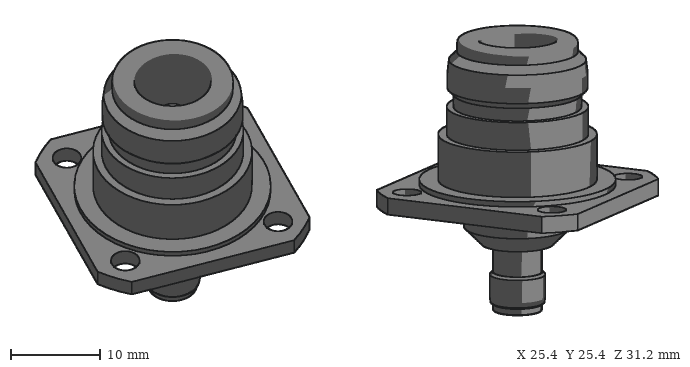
import cadquery as cq
import math

flange_size = 25.4
flange_thickness = 1.9
flange_corner_radius = 16.0
hole_spacing = 18.3
hole_diameter = 3.2

overall_length = 31.25
body_top = 18.7
raised_face_radius = 11.0
raised_face_top = 2.5
barrel_radius = 8.9
barrel_top = 7.7
shoulder_radius = 7.94
shoulder_top = 10.87
undercut_radius = 7.17
undercut_top = 12.33
thread_radius = 7.87
thread_bottom = undercut_top + (thread_radius - undercut_radius)
thread_top = 14.83
thread_lead_radius = 7.7
thread_lead_top = 16.27
nose_radius = 6.78
nose_bottom = thread_lead_top + (thread_lead_radius - nose_radius)
rim_fillet = 0.5

bore_top_radius = 4.27
bore_floor_radius = 4.05
bore_depth = 9.0
pin_top_depth = 5.0
pin_base_radius = 1.5
pin_top_radius = 1.35
pin_hole_top_radius = 0.75
pin_hole_floor_radius = 0.6
pin_hole_depth = 3.5
end_face_slope = math.tan(math.radians(0.5))

lower_body_radius = 6.0
lower_body_bottom = -2.93
cone_end_radius = 4.04
cone_bottom = lower_body_bottom - (lower_body_radius - cone_end_radius)
jack_bottom = body_top - overall_length
neck_radius = 2.75
neck_chamfer = 0.15
tip_chamfer = 0.1
collar_radius = 3.12
collar_top = -8.1
collar_chamfer = 0.3
collar_taper_top = -11.0
collar_taper_radius = 3.04
collar_taper_bottom = -11.58
collar_bottom = -11.79


def revolve_about_z(profile):
    """Close an (r, z) outline drawn on the XZ plane and turn it about the Z axis."""
    return profile.close().revolve(360, (0, 0, 0), (0, 1, 0))


def make_flange():
    plate = cq.Workplane("XY").rect(flange_size, flange_size).extrude(flange_thickness)
    corner_round = cq.Workplane("XY").circle(flange_corner_radius).extrude(flange_thickness)
    holes = (
        cq.Workplane("XY")
        .rect(hole_spacing, hole_spacing, forConstruction=True)
        .vertices()
        .circle(hole_diameter / 2)
        .extrude(flange_thickness)
    )
    return plate.intersect(corner_round).cut(holes)


def make_upper_body():
    profile = (
        cq.Workplane("XZ")
        .moveTo(0, 0)
        .lineTo(raised_face_radius, 0)
        .lineTo(raised_face_radius, raised_face_top)
        .lineTo(barrel_radius, raised_face_top)
        .lineTo(barrel_radius, barrel_top)
        .lineTo(shoulder_radius, barrel_top)
        .lineTo(shoulder_radius, shoulder_top)
        .lineTo(undercut_radius, shoulder_top)
        .lineTo(undercut_radius, undercut_top)
        .lineTo(thread_radius, thread_bottom)
        .lineTo(thread_radius, thread_top)
        .lineTo(thread_lead_radius, thread_lead_top)
        .lineTo(nose_radius, nose_bottom)
        .lineTo(nose_radius, body_top - rim_fillet)
        .radiusArc((nose_radius - rim_fillet, body_top), -rim_fillet)
        .lineTo(0, body_top)
    )
    return revolve_about_z(profile)


def make_socket_cavity():
    """Space inside the socket: the bore with its rounded mouth, less the hollow centre pin."""
    floor_z = body_top - bore_depth
    pin_top_z = body_top - pin_top_depth
    hole_floor_z = pin_top_z - pin_hole_depth
    floor_rise = (bore_floor_radius - pin_base_radius) * end_face_slope
    pin_dish = (pin_top_radius - pin_hole_top_radius) * end_face_slope
    hole_floor_rise = pin_hole_floor_radius * end_face_slope
    profile = (
        cq.Workplane("XZ")
        .moveTo(0, body_top)
        .lineTo(bore_top_radius + rim_fillet, body_top)
        .radiusArc((bore_top_radius, body_top - rim_fillet), -rim_fillet)
        .lineTo(bore_floor_radius, floor_z)
        .lineTo(pin_base_radius, floor_z + floor_rise)
        .lineTo(pin_top_radius, pin_top_z)
        .lineTo(pin_hole_top_radius, pin_top_z - pin_dish)
        .lineTo(pin_hole_floor_radius, hole_floor_z)
        .lineTo(0, hole_floor_z + hole_floor_rise)
    )
    return revolve_about_z(profile)


def make_lower_body():
    profile = (
        cq.Workplane("XZ")
        .moveTo(0, flange_thickness)
        .lineTo(lower_body_radius, flange_thickness)
        .lineTo(lower_body_radius, lower_body_bottom)
        .lineTo(cone_end_radius, cone_bottom)
        .lineTo(neck_radius - neck_chamfer, cone_bottom)
        .lineTo(neck_radius, cone_bottom - neck_chamfer)
        .lineTo(neck_radius, collar_top)
        .lineTo(collar_radius - collar_chamfer, collar_top)
        .lineTo(collar_radius, collar_top - collar_chamfer)
        .lineTo(collar_radius, collar_taper_top)
        .lineTo(collar_taper_radius, collar_taper_bottom)
        .lineTo(neck_radius, collar_bottom)
        .lineTo(neck_radius, jack_bottom + tip_chamfer)
        .lineTo(neck_radius - tip_chamfer, jack_bottom)
        .lineTo(0, jack_bottom)
    )
    return revolve_about_z(profile)


result = make_flange().union(make_upper_body()).union(make_lower_body()).cut(make_socket_cavity())